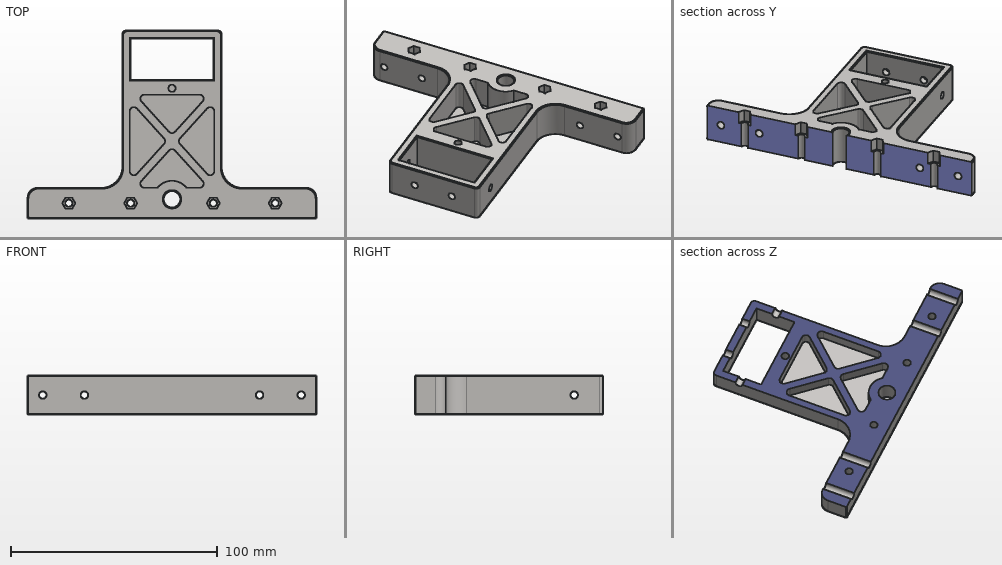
import cadquery as cq
import math

LENGTH = 140.0
DEPTH = 91.1
THICKNESS = 19.0
BAR_DEPTH = 15.0
WALL = 4.0
WINDOW_WIDTH = 40.0
WINDOW_DEPTH = 19.9
STEM_WIDTH = WINDOW_WIDTH + 2 * WALL
EDGE_CHAMFER = 0.5

BAR_CORNER_RADIUS = 5.0
STEM_CORNER_RADIUS = 2.0
JUNCTION_RADIUS = 10.0

WINDOW_TOP = DEPTH - WALL
WINDOW_CENTER_Y = WINDOW_TOP - WINDOW_DEPTH / 2

POCKET_FLOOR = WALL
POCKET_WIDTH = 40.9
POCKET_LENGTH = 45.1
POCKET_CENTER_Y = BAR_DEPTH + POCKET_LENGTH / 2
RIB_WIDTH = 3.9
POCKET_CORNER_RADIUS = 2.0

BORE_DIAMETER = 8.0
BORE_Y = 9.4
BORE_WALL_RADIUS = 9.0

SCREW_DIAMETER = 3.4
NUT_FLATS = 5.5
NUT_DEPTH = 6.0
NUT_OFFSETS = (20.0, 50.0)
CROSS_HOLE_DIAMETER = 3.5
BAR_HOLE_OFFSETS = (42.4, 62.6)
END_WALL_HOLE_OFFSET = 10.0
BLIND_HOLE_DIAMETER = 3.5
BLIND_HOLE_DEPTH = THICKNESS - POCKET_FLOOR
BLIND_HOLE_Y = WINDOW_TOP - WINDOW_DEPTH - WALL

MID_HEIGHT = THICKNESS / 2

EDGE_REACH = 0.1


def mirrored(offsets):
    """Offsets on both sides of the symmetry plane X = 0."""
    return [side * offset for offset in offsets for side in (-1, 1)]


def box_on_floor(width, depth, height):
    """Box centred in X that starts at Y = 0 and Z = 0."""
    return cq.Workplane("XY").box(width, depth, height, centered=(True, False, False))


def vertical_edges_at(body, half_width, y):
    """The two vertical edges at X = +-half_width and the given Y."""
    left, right = (
        cq.selectors.BoxSelector(
            (x - EDGE_REACH, y - EDGE_REACH, 0),
            (x + EDGE_REACH, y + EDGE_REACH, THICKNESS),
        )
        for x in (-half_width, half_width)
    )
    return body.edges(left + right)


def make_body():
    """T-shaped plate with rounded corners and chamfered outer edges."""
    body = box_on_floor(LENGTH, BAR_DEPTH, THICKNESS).union(box_on_floor(STEM_WIDTH, DEPTH, THICKNESS))
    body = vertical_edges_at(body, LENGTH / 2, BAR_DEPTH).fillet(BAR_CORNER_RADIUS)
    body = vertical_edges_at(body, STEM_WIDTH / 2, BAR_DEPTH).fillet(JUNCTION_RADIUS)
    body = vertical_edges_at(body, STEM_WIDTH / 2, DEPTH).fillet(STEM_CORNER_RADIUS)
    body = vertical_edges_at(body, LENGTH / 2, 0).chamfer(EDGE_CHAMFER)
    return body.faces("<Z or >Z").edges().chamfer(EDGE_CHAMFER)


def make_window():
    """Through window that flares by a chamfer at the top face."""
    window = cq.Workplane("XY").rect(WINDOW_WIDTH, WINDOW_DEPTH).extrude(THICKNESS)
    flare = (
        cq.Workplane("XY", origin=(0, 0, THICKNESS))
        .rect(WINDOW_WIDTH + 2 * EDGE_CHAMFER, WINDOW_DEPTH + 2 * EDGE_CHAMFER)
        .extrude(-EDGE_CHAMFER, taper=45)
    )
    return window.union(flare).translate((0, WINDOW_CENTER_Y, 0))


def make_bore():
    """Through bore with a chamfered mouth at the top face."""
    radius = BORE_DIAMETER / 2
    bore = cq.Workplane("XY").circle(radius).extrude(THICKNESS)
    mouth = (
        cq.Workplane("XY", origin=(0, 0, THICKNESS))
        .circle(radius + EDGE_CHAMFER)
        .extrude(-EDGE_CHAMFER, taper=45)
    )
    return bore.union(mouth).translate((0, BORE_Y, 0))


def make_pockets():
    """Four rounded triangular pockets left between two crossing ribs."""
    rib_angle = math.degrees(math.atan2(POCKET_LENGTH, POCKET_WIDTH))
    rib_length = 2 * math.hypot(POCKET_LENGTH, POCKET_WIDTH)
    height = THICKNESS - POCKET_FLOOR
    pockets = cq.Workplane("XY").box(
        POCKET_WIDTH, POCKET_LENGTH, height, centered=(True, True, False)
    )
    for angle in (-rib_angle, rib_angle):
        rib = cq.Workplane("XY").box(rib_length, RIB_WIDTH, height, centered=(True, True, False))
        pockets = pockets.cut(rib.rotate((0, 0, 0), (0, 0, 1), angle))
    pockets = pockets.edges("|Z").fillet(POCKET_CORNER_RADIUS)
    pockets = pockets.translate((0, POCKET_CENTER_Y, POCKET_FLOOR))
    bore_wall = cq.Workplane("XY").center(0, BORE_Y).circle(BORE_WALL_RADIUS).extrude(THICKNESS)
    return pockets.cut(bore_wall)


def make_nut_holes():
    """Vertical screw holes in the crossbar, with hexagonal nut recesses on top."""
    points = [(x, BAR_DEPTH / 2) for x in mirrored(NUT_OFFSETS)]
    screws = cq.Workplane("XY").pushPoints(points).circle(SCREW_DIAMETER / 2).extrude(THICKNESS)
    nut_corners = NUT_FLATS / math.cos(math.pi / 6)
    nuts = (
        cq.Workplane("XY", origin=(0, 0, THICKNESS))
        .pushPoints(points)
        .polygon(6, nut_corners)
        .extrude(-NUT_DEPTH)
    )
    return screws.union(nuts)


def make_holes_along_y(offsets, start, length):
    """Mid-height holes parallel to Y, mirrored about the stem axis."""
    return (
        cq.Workplane("XZ", origin=(0, start, MID_HEIGHT))
        .pushPoints([(x, 0) for x in mirrored(offsets)])
        .circle(CROSS_HOLE_DIAMETER / 2)
        .extrude(-length)
    )


def make_side_wall_hole():
    """Mid-height hole parallel to X through both side walls of the window."""
    return (
        cq.Workplane("YZ", origin=(0, WINDOW_CENTER_Y, MID_HEIGHT))
        .circle(CROSS_HOLE_DIAMETER / 2)
        .extrude(STEM_WIDTH / 2, both=True)
    )


def make_blind_hole():
    """Blind hole in the top face between the window and the pockets."""
    return (
        cq.Workplane("XY", origin=(0, BLIND_HOLE_Y, THICKNESS))
        .circle(BLIND_HOLE_DIAMETER / 2)
        .extrude(-BLIND_HOLE_DEPTH)
    )


cutters = (
    make_window(),
    make_bore(),
    make_pockets(),
    make_nut_holes(),
    make_holes_along_y(BAR_HOLE_OFFSETS, 0, BAR_DEPTH),
    make_holes_along_y((END_WALL_HOLE_OFFSET,), WINDOW_TOP, WALL),
    make_side_wall_hole(),
    make_blind_hole(),
)

result = make_body()
for cutter in cutters:
    result = result.cut(cutter)